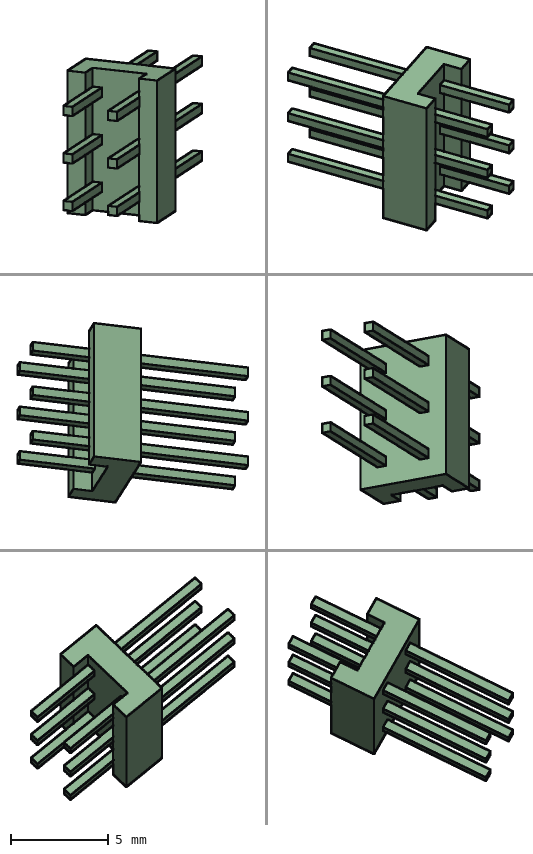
import cadquery as cq

ROWS = 3
COLUMNS = 2
ROW_PITCH = 2.54
COLUMN_PITCH = 2.5
BODY_WIDTH = 5.0
BODY_HEIGHT = ROWS * ROW_PITCH
BODY_DEPTH = 2.51
CHANNEL_WIDTH = 3.0
CHANNEL_DEPTH = 1.0

PIN_SIZE = 0.5
PIN_LENGTH = 11.5
PIN_BACK_LENGTH = 5.99
PIN_SHIFT_X = 0.01
PIN_SHIFT_Z = 0.02


def make_body():
    """Housing with its back face on Y = 0 and the channel cut in its front."""
    body = cq.Workplane("XY").box(BODY_WIDTH, BODY_DEPTH, BODY_HEIGHT)
    channel = cq.Workplane("XY").box(CHANNEL_WIDTH, CHANNEL_DEPTH, BODY_HEIGHT)
    channel = channel.translate((0, (CHANNEL_DEPTH - BODY_DEPTH) / 2, 0))
    return body.cut(channel).translate((0, -BODY_DEPTH / 2, 0))


def make_pin(column, row):
    """Straight square pin at one place of the grid."""
    x = PIN_SHIFT_X + (column - (COLUMNS - 1) / 2) * COLUMN_PITCH
    y = PIN_BACK_LENGTH - PIN_LENGTH / 2
    z = PIN_SHIFT_Z + (row - (ROWS - 1) / 2) * ROW_PITCH
    return cq.Workplane("XY").box(PIN_SIZE, PIN_LENGTH, PIN_SIZE).translate((x, y, z))


result = make_body()
for column in range(COLUMNS):
    for row in range(ROWS):
        result = result.union(make_pin(column, row))